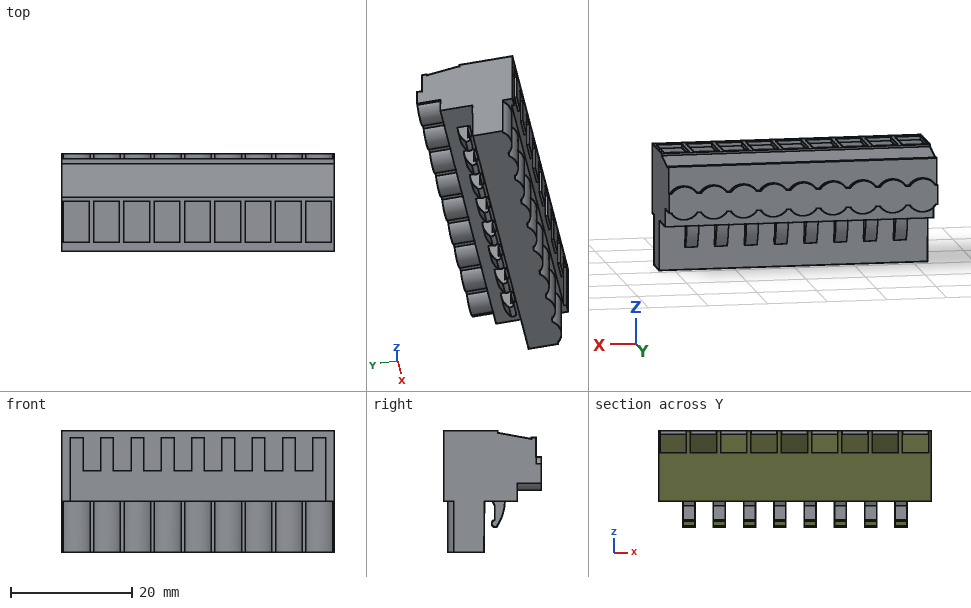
import cadquery as cq


pole_count = 9
pitch = 5.0
length = pole_count * pitch
depth = 16.1
height = 20.1
pole_centres = [pitch * (i + 0.5) for i in range(pole_count)]
pole_boundaries = [pitch * i for i in range(1, pole_count)]

body_bottom = 8.4
upper_rear = 15.27
step_front = 12.15
lip_front = 14.45
lip_top = 19.0
slope_low = 18.75
slope_high = 19.75
top_rear = 8.95

plug_rear = 6.75
plug_tip_rear = 6.66
plug_flat_front = 1.65
plug_front = 0.66
plug_rib_width = 4.4
plug_rib_overlap = 1.0

entry_flat_bottom = 11.4
entry_flat_top = 14.6
entry_bulge = 1.17
entry_width = 4.4

recess_margin = 1.42
recess_depth = 0.4
recess_top = height - 1.2
tab_bottom = 13.45
tab_width = 2.9

pocket_width = 4.25
pocket_shift = -0.1
pocket_front = 1.45
pocket_rear = 8.25
pocket_depth = 0.6
insert_height = 3.0
insert_top = height - pocket_depth
insert_bottom = insert_top - insert_height

hook_width = 2.0
hook_root_rear = 10.12
hook_root_front = 8.05
hook_back_middle = (9.6, 5.85)
hook_back_end = (8.72, 4.18)
hook_nose = (7.98, 4.45)
hook_neck = 8.4
hook_neck_top = 7.7
hook_neck_bottom = 5.35


def make_body():
    """Extrude the body section, including the flat wire-entry band, along the row."""
    section = [
        (0, body_bottom),
        (step_front, body_bottom),
        (step_front, entry_flat_bottom),
        (depth, entry_flat_bottom),
        (depth, entry_flat_top),
        (upper_rear, entry_flat_top),
        (upper_rear, lip_top),
        (lip_front, lip_top),
        (lip_front, slope_low),
        (top_rear, slope_high),
        (top_rear, height),
        (0, height),
    ]
    return cq.Workplane("YZ").polyline(section).close().extrude(length)


def make_plug():
    """Plug block with a slightly tapered rear face."""
    section = [
        (plug_flat_front, 0),
        (plug_tip_rear, 0),
        (plug_rear, body_bottom),
        (plug_flat_front, body_bottom),
    ]
    return cq.Workplane("YZ").polyline(section).close().extrude(length)


def make_plug_rib(x):
    """Rounded rib on the front of the plug block at one pole."""
    half = plug_rib_width / 2
    return (
        cq.Workplane("XY")
        .moveTo(x - half, plug_flat_front)
        .threePointArc((x, plug_front), (x + half, plug_flat_front))
        .lineTo(x + half, plug_flat_front + plug_rib_overlap)
        .lineTo(x - half, plug_flat_front + plug_rib_overlap)
        .close()
        .extrude(body_bottom)
    )


def make_wire_entry(x):
    """Wire entry of one pole, bulging above and below the flat band."""
    half = entry_width / 2
    return (
        cq.Workplane("XZ", origin=(0, depth, 0))
        .moveTo(x - half, entry_flat_bottom)
        .threePointArc((x, entry_flat_bottom - entry_bulge), (x + half, entry_flat_bottom))
        .lineTo(x + half, entry_flat_top)
        .threePointArc((x, entry_flat_top + entry_bulge), (x - half, entry_flat_top))
        .close()
        .extrude(depth - step_front)
    )


def make_hook(x):
    """Curved latch hook with a rounded nose, hanging below the body."""
    return (
        cq.Workplane("YZ", origin=(x - hook_width / 2, 0, 0))
        .moveTo(hook_root_rear, body_bottom)
        .threePointArc(hook_back_middle, hook_back_end)
        .threePointArc(hook_nose, (hook_neck, hook_neck_bottom))
        .lineTo(hook_neck, hook_neck_top)
        .lineTo(hook_root_front, body_bottom)
        .close()
        .extrude(hook_width)
    )


def make_front_recess():
    """Volume removed from the front face: a shallow panel less the hanging tabs."""
    recess = cq.Workplane("XY").box(
        length - 2 * recess_margin, recess_depth, recess_top - body_bottom, centered=False
    ).translate((recess_margin, 0, body_bottom))
    for x in pole_boundaries:
        tab = cq.Workplane("XY").box(
            tab_width, recess_depth, recess_top - tab_bottom, centered=False
        ).translate((x - tab_width / 2, 0, tab_bottom))
        recess = recess.cut(tab)
    return recess


def make_pocket_block(x, bottom, top):
    """Block with the pocket's plan shape at one pole, between two heights."""
    left = x + pocket_shift - pocket_width / 2
    return cq.Workplane("XY").box(
        pocket_width, pocket_rear - pocket_front, top - bottom, centered=False
    ).translate((left, pocket_front, bottom))


def make_housing():
    """Housing of all poles as one solid, open where the inserts sit."""
    housing = make_body().union(make_plug())
    for x in pole_centres:
        housing = housing.union(make_plug_rib(x))
        housing = housing.union(make_wire_entry(x))
        housing = housing.cut(make_pocket_block(x, insert_bottom, height))
    for x in pole_boundaries:
        housing = housing.union(make_hook(x))
    return housing.cut(make_front_recess())


housing = make_housing()
inserts = [make_pocket_block(x, insert_bottom, insert_top) for x in pole_centres]

result = cq.Compound.makeCompound([housing.val(), *[insert.val() for insert in inserts]])